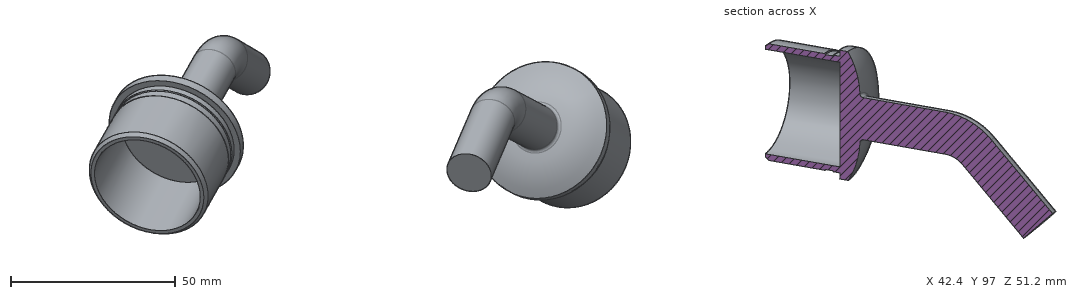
import cadquery as cq
import math

overall_length = 96.95

plug_radius = 19.2
bore_radius = 17.1
lead_in_length = 1.2
lead_in_depth = 1.0
groove_start = 20.0
groove_end = 23.0
groove_depth = 0.3

flange_diameter = 42.4
flange_start = 25.0
flange_thickness = 2.9
crown_height = 4.1

stem_radius = 7.0
root_fillet = 1.0
bend_start = 60.8
bend_radius = 14.9
bend_angle = math.radians(45)

flange_radius = flange_diameter / 2
bore_depth = flange_start
groove_radius = plug_radius - groove_depth
flange_end = flange_start + flange_thickness
crown_top = flange_end + crown_height


def crown_midpoint():
    """Middle of the crown arc, which leaves the stem square to it and ends on the flange rim."""
    crown_width = flange_radius - stem_radius
    crown_radius = (crown_width**2 + crown_height**2) / (2 * crown_height)
    half_sweep = math.asin(crown_width / crown_radius) / 2
    return (
        stem_radius + crown_radius * math.sin(half_sweep),
        crown_top - crown_radius * (1 - math.cos(half_sweep)),
    )


def make_plug():
    """Revolve the bored plug, its groove, the flange and the crown about Y."""
    profile = (
        cq.Workplane("XY")
        .moveTo(0, bore_depth)
        .lineTo(bore_radius, bore_depth)
        .lineTo(bore_radius, 0)
        .lineTo(plug_radius - lead_in_depth, 0)
        .lineTo(plug_radius, lead_in_length)
        .lineTo(plug_radius, groove_start)
        .lineTo(groove_radius, groove_start + groove_depth)
        .lineTo(groove_radius, groove_end - groove_depth)
        .lineTo(plug_radius, groove_end)
        .lineTo(plug_radius, flange_start)
        .lineTo(flange_radius, flange_start)
        .lineTo(flange_radius, flange_end)
        .threePointArc(crown_midpoint(), (stem_radius, crown_top))
        .lineTo(0, crown_top)
        .close()
    )
    return profile.revolve(360, (0, 0, 0), (0, 1, 0))


def bend_point(turn):
    """Point (y, z) on the stem centreline after turning downward by an angle."""
    return (
        bend_start + bend_radius * math.sin(turn),
        -bend_radius * (1 - math.cos(turn)),
    )


def make_stem():
    """Sweep the solid round stem out of the crown and through its downward bend."""
    bend_end_y, bend_end_z = bend_point(bend_angle)
    tip_y = overall_length - stem_radius * math.sin(bend_angle)
    tip_z = bend_end_z - (tip_y - bend_end_y) * math.tan(bend_angle)
    path = (
        cq.Workplane("YZ")
        .moveTo(flange_end, 0)
        .lineTo(bend_start, 0)
        .threePointArc(bend_point(bend_angle / 2), (bend_end_y, bend_end_z))
        .lineTo(tip_y, tip_z)
    )
    section = cq.Workplane("XZ", origin=(0, flange_end, 0)).circle(stem_radius)
    return section.sweep(path)


def fillet_stem_root(body):
    """Round the corner where the stem leaves the crown."""
    margin = root_fillet / 2
    root_zone = cq.selectors.BoxSelector(
        (-stem_radius, crown_top - margin, -stem_radius),
        (stem_radius, crown_top + margin, stem_radius),
    )
    return body.edges("%CIRCLE").edges(root_zone).fillet(root_fillet)


result = fillet_stem_root(make_plug().union(make_stem()))